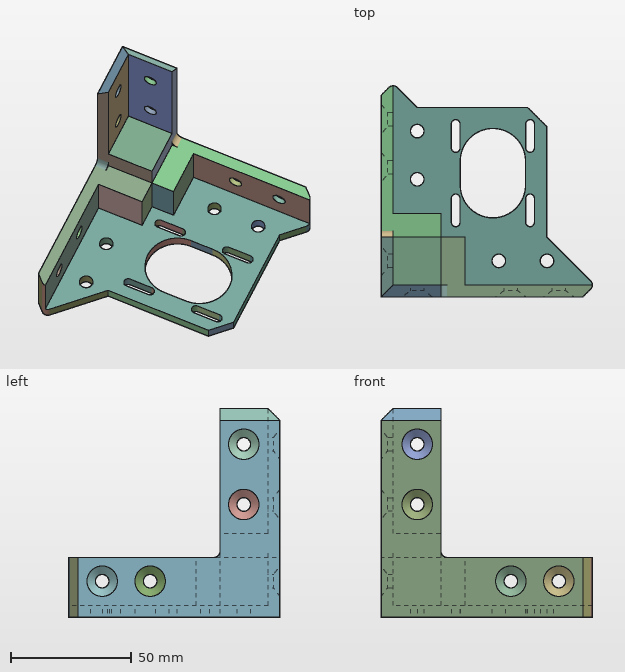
import cadquery as cq
import math

reach = 88.0
column_height = 87.0
wall = 5.0
arm = 25.0
block_reach = 34.8
inner_corner_radius = 2.5

tip_radius = 2.5
plate_x = 69.0
plate_y = 78.9
plate_chamfer = 7.9

hole_diameter = 5.5
countersink_diameter = 12.7
countersink_depth = 2.7
hole_offset = 15.0
arm_holes = (54.0, 74.0)
column_holes = (47.0, 72.0)
base_holes = (49.0, 69.05)

motor_x = 46.5
motor_y = 51.55
motor_hole_spacing = 31.0
adjustment = 10.0
motor_slot_width = 3.5
motor_opening_width = 27.1


def box(x, y, z):
    return cq.Workplane("XY").box(x, y, z, centered=False)


def base_outline(height):
    """Footprint of the part, with both arm tips sloped and rounded."""
    apex = reach + tip_radius * (math.sqrt(2) - 1)
    outer_end = apex - wall
    diagonal = apex + wall
    points = [
        (0, 0),
        (outer_end, 0),
        (apex, wall),
        (plate_x, diagonal - plate_x),
        (plate_x, plate_y - plate_chamfer),
        (plate_x - plate_chamfer, plate_y),
        (diagonal - plate_y, plate_y),
        (wall, apex),
        (0, outer_end),
    ]
    outline = cq.Workplane("XY").polyline(points).close().extrude(height)
    for tip in ((apex, wall), (wall, apex)):
        outline = outline.edges(cq.NearestToPointSelector((*tip, height / 2))).fillet(tip_radius)
    return outline


def l_wall():
    """L-shaped wall on the XZ plane: horizontal arm and column."""
    points = [(0, 0), (reach, 0), (reach, arm), (arm, arm), (arm, column_height), (0, column_height)]
    profile = cq.Workplane("XZ").polyline(points).close().extrude(-wall)
    return profile.edges(cq.NearestToPointSelector((arm, wall / 2, arm))).fillet(inner_corner_radius)


def mirrored(shape):
    """Swap X and Y, giving the matching shape on the other wall."""
    return shape.mirror("XZ").rotate((0, 0, 0), (0, 0, 1), 90)


def column_bevel():
    """Cutter that slopes the column top from its outer faces up to its inner faces."""
    points = [(0, column_height - wall), (wall, column_height), (0, column_height)]
    return cq.Workplane("YZ").polyline(points).close().extrude(arm)


def corner_block():
    """Solid corner that the three frame bars butt against."""
    return (
        box(block_reach, arm, arm)
        .union(box(arm, block_reach, arm))
        .union(box(arm, arm, block_reach))
    )


def wall_holes():
    """Cutter for the countersunk screw holes of the wall on the XZ plane."""
    centres = [(x, hole_offset) for x in arm_holes] + [(hole_offset, z) for z in column_holes]
    countersink_radius = countersink_diameter / 2
    hole_radius = hole_diameter / 2
    profile = [
        (0, 0),
        (countersink_radius, 0),
        (hole_radius, countersink_depth),
        (hole_radius, wall),
        (0, wall),
    ]
    screw = cq.Workplane("XY").polyline(profile).close().revolve(360, (0, 0), (0, 1))
    cutter = cq.Workplane("XY")
    for x, z in centres:
        cutter = cutter.add(screw.translate((x, 0, z)))
    return cutter.combine()


def base_cutouts():
    """Cutter for the screw holes, motor slots and motor opening of the base plate."""
    centres = [(d, hole_offset) for d in base_holes] + [(hole_offset, d) for d in base_holes]
    holes = cq.Workplane("XY").pushPoints(centres).circle(hole_diameter / 2).extrude(wall)
    motor = cq.Workplane("XY").center(motor_x, motor_y)
    slots = (
        motor.rarray(motor_hole_spacing, motor_hole_spacing, 2, 2)
        .slot2D(adjustment + motor_slot_width, motor_slot_width, 90)
        .extrude(wall)
    )
    opening = motor.slot2D(adjustment + motor_opening_width, motor_opening_width, 90).extrude(wall)
    return holes.union(slots).union(opening)


walls = l_wall().union(mirrored(l_wall()))
body = box(reach, reach, wall).union(walls).union(corner_block())
body = body.intersect(base_outline(column_height))
body = body.cut(column_bevel()).cut(mirrored(column_bevel()))
body = body.cut(wall_holes()).cut(mirrored(wall_holes()))
result = body.cut(base_cutouts())